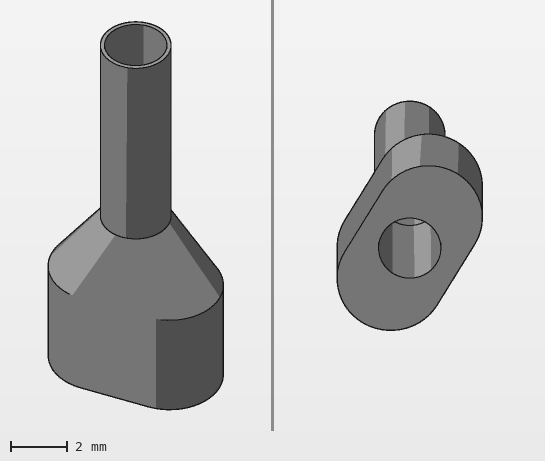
import cadquery as cq


total_height = 15.0
tube_length = 8.0
tube_diameter = 2.5
bore_diameter = 2.2
collar_width = 6.4
collar_depth = 3.8
collar_straight_height = 4.2

collar_height = total_height - tube_length
taper_height = collar_height - collar_straight_height
tube_radius = tube_diameter / 2
end_radius = collar_depth / 2
end_center_x = collar_width / 2 - end_radius


def make_tube():
    """Metal tube, resting on the top rim of the collar."""
    return (
        cq.Workplane("XY", origin=(0, 0, collar_height))
        .circle(tube_radius)
        .circle(bore_diameter / 2)
        .extrude(tube_length)
    )


def half_disc(center_x, radius, z, side):
    """Outline of a half disc bulging toward +X (side = 1) or -X (side = -1)."""
    return (
        cq.Workplane("XY", origin=(center_x, 0, z))
        .moveTo(0, -radius)
        .threePointArc((side * radius, 0), (0, radius))
        .close()
        .val()
    )


def make_taper_end(side):
    """Oblique half cone from one rounded collar end up to half of the tube circle."""
    lower = half_disc(side * end_center_x, end_radius, collar_straight_height, side)
    upper = half_disc(0, tube_radius, collar_height, side)
    return cq.Workplane(obj=cq.Solid.makeLoft([lower, upper], True))


def make_taper_middle():
    """Wedge between the half cones, with a flat triangle at front and back."""
    front_left = cq.Vector(-end_center_x, -end_radius, collar_straight_height)
    front_right = cq.Vector(end_center_x, -end_radius, collar_straight_height)
    back_right = cq.Vector(end_center_x, end_radius, collar_straight_height)
    back_left = cq.Vector(-end_center_x, end_radius, collar_straight_height)
    front_top = cq.Vector(0, -tube_radius, collar_height)
    back_top = cq.Vector(0, tube_radius, collar_height)
    outlines = [
        [front_left, front_right, back_right, back_left],
        [front_left, front_right, front_top],
        [back_left, back_right, back_top],
        [front_left, back_left, back_top, front_top],
        [front_right, back_right, back_top, front_top],
    ]
    faces = [cq.Face.makeFromWires(cq.Wire.makePolygon(points, close=True)) for points in outlines]
    return cq.Workplane(obj=cq.Solid.makeSolid(cq.Shell.makeShell(faces)))


def make_collar():
    """Oblong base, tapering up to the tube, with the tube's bore carried through."""
    collar = cq.Workplane("XY").slot2D(collar_width, collar_depth).extrude(collar_straight_height)
    collar = collar.union(make_taper_middle())
    for side in (-1, 1):
        collar = collar.union(make_taper_end(side))
    bore = cq.Workplane("XY").circle(bore_diameter / 2).extrude(collar_height)
    return collar.cut(bore).solids()


tube = make_tube()
collar = make_collar()

result = cq.Compound.makeCompound([tube.val(), collar.val()])